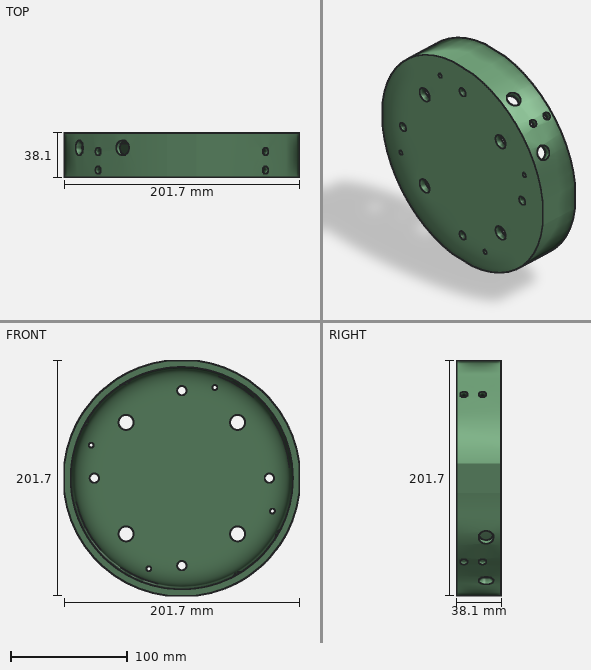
import cadquery as cq
import math

depth = 38.1
flat_span = 201.7
half_flat_width = 12.7
outer_radius = math.hypot(flat_span / 2, half_flat_width)
inner_radius = 95.4
floor_thickness = 6.5
floor_fillet = 2.6

large_floor_diameter = 12.7
large_floor_offset = 47.8
axis_hole_diameter = 7.9
axis_hole_radius = 75.0
pin_hole_diameter = 4.0
pin_hole_radius = 82.7
pin_hole_angle = 70

port_diameter = 12.7
port_from_back = floor_thickness + port_diameter / 2
port_angles = (120, 150, 300, 330)
screw_diameter = 6.5
screw_from_back = (16.0, 31.9)
screw_angles = (45, 135, 225, 315)

back_y = depth / 2


def disc(radius, length, front_y):
    """Cylinder along +Y starting at front_y."""
    return cq.Workplane("XZ", origin=(0, front_y, 0)).circle(radius).extrude(-length)


def ring_of_points(radius, first_angle):
    """Four X, Z points spaced a quarter turn apart."""
    angles = [math.radians(first_angle + 90 * i) for i in range(4)]
    return [(radius * math.cos(a), radius * math.sin(a)) for a in angles]


def floor_holes(points, diameter):
    plane = cq.Workplane("XZ", origin=(0, -back_y, 0))
    return plane.pushPoints(points).circle(diameter / 2).extrude(-depth)


def wall_hole(angle, from_back, diameter):
    """Radial cutter reaching from inside the cavity to beyond the wall."""
    turn = math.radians(angle)
    direction = cq.Vector(math.cos(turn), 0, math.sin(turn))
    start = direction * (inner_radius - 2 * floor_fillet) + cq.Vector(0, back_y - from_back, 0)
    length = outer_radius - inner_radius + 4 * floor_fillet
    return cq.Workplane(cq.Solid.makeCylinder(diameter / 2, length, start, direction))


body = disc(outer_radius, depth, -back_y)
body = body.intersect(cq.Workplane("XY").box(flat_span, depth, flat_span))
cavity = disc(inner_radius, depth - floor_thickness, -back_y)
cavity = cavity.faces(">Y").edges().fillet(floor_fillet)
result = body.cut(cavity)

large_radius = math.hypot(large_floor_offset, large_floor_offset)
result = result.cut(floor_holes(ring_of_points(large_radius, 45), large_floor_diameter))
result = result.cut(floor_holes(ring_of_points(axis_hole_radius, 0), axis_hole_diameter))
result = result.cut(floor_holes(ring_of_points(pin_hole_radius, pin_hole_angle), pin_hole_diameter))

for angle in port_angles:
    result = result.cut(wall_hole(angle, port_from_back, port_diameter))
for angle in screw_angles:
    for from_back in screw_from_back:
        result = result.cut(wall_hole(angle, from_back, screw_diameter))